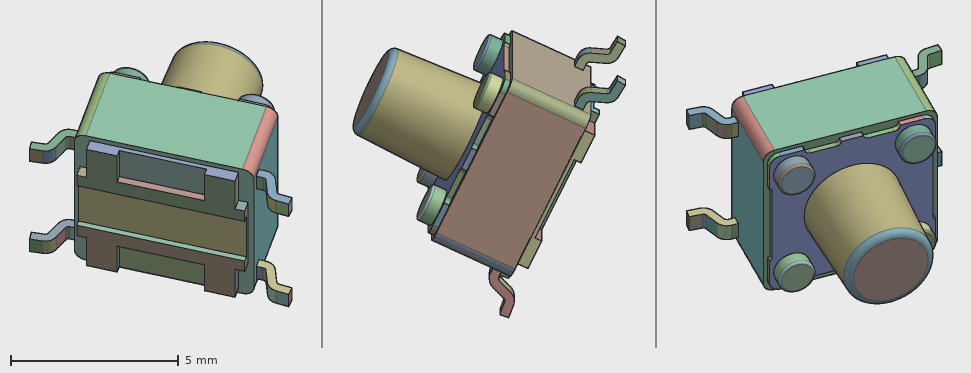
import cadquery as cq
import math


housing_width = 5.58
housing_corner_radius = 0.36
housing_top = 2.61

foot_depth = 0.365
foot_half_size = 2.61
foot_narrow_half_width = 2.31
foot_step_height = 1.35
channel_width = 1.78
channel_depth = 0.18
pocket_width = 2.705
pocket_inner_edge = 1.44
pocket_depth = 0.23

plate_thickness = 0.18
plate_width = 5.32
plate_corner_radius = 0.36
notch_half_width = 1.35
end_notch_radius = 0.18
side_notch_radius = 0.08
tab_half_width = 0.36
tab_radius = 0.14

post_diameter = 1.17
post_offset = 1.94
post_top = 3.24
post_edge_radius = 0.07

plunger_tip = 5.945
plunger_base_diameter = 3.12
plunger_tip_diameter = 2.83
plunger_edge_radius = 0.23

terminal_reach = 4.05
terminal_width = 0.56
terminal_thickness = 0.28
terminal_offset = 2.025
terminal_top = 0.54
terminal_tip_depth = 0.55
bend_start = 3.005
bend_outer_radius = 0.4
leg_angle = math.radians(69)
sole_angle = math.radians(5)

plate_top = housing_top + plate_thickness
plate_half_width = plate_width / 2
SIDES = (-1, 1)
CORNERS = [(x, z) for x in SIDES for z in SIDES]
post_centers = [(x * post_offset, z * post_offset) for x, z in CORNERS]


def plane_at(y):
    """XZ plane at height y, with local axes X and Z and its normal towards -Y."""
    return cq.Workplane(cq.Plane(origin=(0, y, 0), xDir=(1, 0, 0), normal=(0, -1, 0)))


def rise(sketch, height):
    """Extrude a sketch on plane_at towards +Y."""
    return sketch.extrude(-height)


def block(x_size, z_size, y_bottom, y_top, z_center=0):
    """Rectangular block between two Y heights."""
    return rise(plane_at(y_bottom).center(0, z_center).rect(x_size, z_size), y_top - y_bottom)


def make_foot():
    """Cross-shaped foot with a channel along X and a label pocket at each Z end."""
    foot_size = 2 * foot_half_size
    foot = block(2 * foot_narrow_half_width, foot_size, -foot_depth, 0)
    foot = foot.union(block(foot_size, 2 * foot_step_height, -foot_depth, 0))
    foot = foot.cut(block(foot_size, channel_width, -foot_depth, channel_depth - foot_depth))
    pocket_height = foot_half_size - pocket_inner_edge
    pocket_center = pocket_inner_edge + pocket_height / 2
    for side in SIDES:
        pocket = block(
            pocket_width, pocket_height, -foot_depth, pocket_depth - foot_depth, side * pocket_center
        )
        foot = foot.cut(pocket)
    return foot


def make_housing():
    """Rounded box with the stepped foot below it and four rivet posts on top."""
    box = block(housing_width, housing_width, 0, housing_top).edges("|Y").fillet(housing_corner_radius)
    posts = rise(
        plane_at(housing_top).pushPoints(post_centers).circle(post_diameter / 2), post_top - housing_top
    )
    posts = posts.faces(">Y").edges().fillet(post_edge_radius)
    return box.union(make_foot()).union(posts)


def make_plunger():
    """Tapered button with a rounded tip, standing on the housing."""
    plunger = (
        plane_at(housing_top)
        .circle(plunger_base_diameter / 2)
        .workplane(offset=housing_top - plunger_tip)
        .circle(plunger_tip_diameter / 2)
        .loft()
    )
    return plunger.faces(">Y").edges().fillet(plunger_edge_radius)


def end_notch(side):
    """Notch in one Z edge, with concave round ends and a lower tab in the middle."""
    edge = plate_half_width
    floor = edge - end_notch_radius
    tab_top = floor + tab_radius
    diagonal = math.sqrt(0.5)
    outer_x = notch_half_width + end_notch_radius
    tab_base = tab_half_width + tab_radius
    outer_mid = (notch_half_width + end_notch_radius * diagonal, edge - end_notch_radius * diagonal)
    tab_mid = (tab_base - tab_radius * diagonal, tab_top - tab_radius * diagonal)
    sketch = (
        plane_at(housing_top)
        .moveTo(-outer_x, side * edge)
        .threePointArc((-outer_mid[0], side * outer_mid[1]), (-notch_half_width, side * floor))
        .lineTo(-tab_base, side * floor)
        .threePointArc((-tab_mid[0], side * tab_mid[1]), (-tab_half_width, side * tab_top))
        .lineTo(tab_half_width, side * tab_top)
        .threePointArc((tab_mid[0], side * tab_mid[1]), (tab_base, side * floor))
        .lineTo(notch_half_width, side * floor)
        .threePointArc((outer_mid[0], side * outer_mid[1]), (outer_x, side * edge))
        .close()
    )
    return rise(sketch, plate_thickness)


def side_notch(side):
    """Shallow notch in one X edge, with concave round ends."""
    height = 2 * (notch_half_width + side_notch_radius)
    blank = plane_at(housing_top).center(side * plate_half_width, 0).rect(2 * side_notch_radius, height)
    notch = rise(blank, plate_thickness)
    inner_edges = "<X" if side > 0 else ">X"
    return notch.faces(inner_edges).edges("|Y").fillet(side_notch_radius)


def make_plate(housing, plunger):
    """Cover plate with notched edges, pierced by the posts and the plunger."""
    plate = block(plate_width, plate_width, housing_top, plate_top)
    plate = plate.edges("|Y").fillet(plate_corner_radius)
    for side in SIDES:
        plate = plate.cut(end_notch(side)).cut(side_notch(side))
    return plate.cut(housing).cut(plunger)


def make_terminal(side, z_center):
    """Gull-wing strip that leaves the housing wall, bends down its leg and ends in a sole."""
    bend_radius = bend_outer_radius - terminal_thickness / 2
    half_thickness = terminal_thickness / 2
    start_y = terminal_top - half_thickness

    upper_center_y = start_y - bend_radius

    def upper_bend(angle):
        return (bend_start + bend_radius * math.sin(angle), upper_center_y + bend_radius * math.cos(angle))

    leg_top = upper_bend(leg_angle)

    sole_x = terminal_reach - half_thickness * math.sin(sole_angle)
    sole_y = half_thickness * math.cos(sole_angle) - terminal_tip_depth
    bend_run = bend_radius * (math.sin(leg_angle) - math.sin(sole_angle))
    bend_drop = bend_radius * (math.cos(sole_angle) - math.cos(leg_angle))
    run = sole_x - leg_top[0] - bend_run
    drop = leg_top[1] - sole_y - bend_drop
    leg_length = (drop - run * math.tan(sole_angle)) / (
        math.sin(leg_angle) - math.cos(leg_angle) * math.tan(sole_angle)
    )
    leg_end = (
        leg_top[0] + leg_length * math.cos(leg_angle),
        leg_top[1] - leg_length * math.sin(leg_angle),
    )
    lower_center = (
        leg_end[0] + bend_radius * math.sin(leg_angle),
        leg_end[1] + bend_radius * math.cos(leg_angle),
    )

    def lower_bend(angle):
        return (
            lower_center[0] - bend_radius * math.sin(angle),
            lower_center[1] - bend_radius * math.cos(angle),
        )

    path = (
        cq.Workplane("XY")
        .moveTo(housing_width / 2, start_y)
        .lineTo(bend_start, start_y)
        .threePointArc(upper_bend(leg_angle / 2), leg_top)
        .lineTo(*leg_end)
        .threePointArc(lower_bend((leg_angle + sole_angle) / 2), lower_bend(sole_angle))
        .lineTo(sole_x, sole_y)
    )
    section = cq.Workplane("YZ", origin=(housing_width / 2, start_y, 0))
    strip = section.rect(terminal_thickness, terminal_width).sweep(path)
    if side < 0:
        strip = strip.mirror("YZ")
    return strip.translate((0, 0, z_center))


housing = make_housing()
plunger = make_plunger()
plate = make_plate(housing, plunger)
terminals = [make_terminal(x, z * terminal_offset) for x, z in CORNERS]

result = cq.Compound.makeCompound(
    [housing.val(), plate.val(), plunger.val(), *[terminal.val() for terminal in terminals]]
)